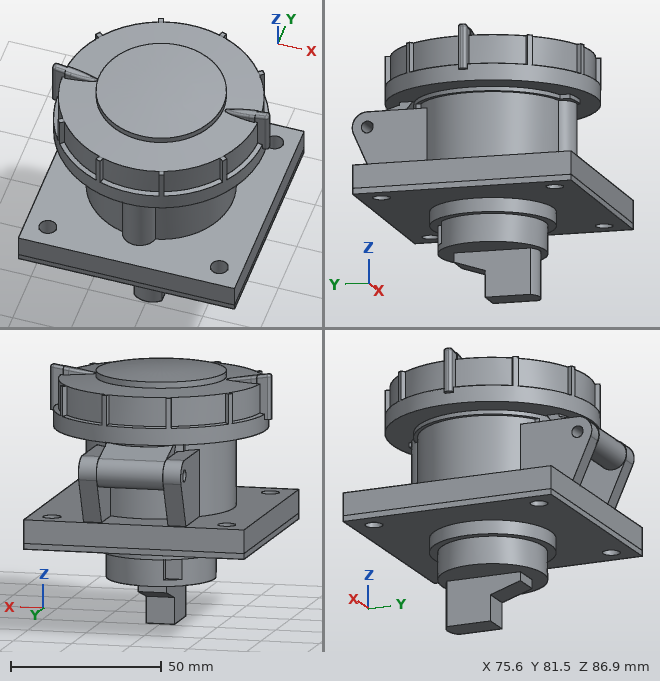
import cadquery as cq
import math

gasket_thickness = 2.0
flange_top = 10.0
collar_bottom = 35.3
ring_bottom = 36.8
ring_top = 42.5
ring_slope_rise = 0.35
cap_edge_top = 52.7
disc_bottom = 53.5
disc_top = 55.55
dome_top = 56.8
boss_step = -4.8
boss_bottom = -14.3
overall_height = 86.9
terminal_bottom = dome_top - overall_height

plate_side = 75.6
screw_offset = 30.0
screw_hole_radius = 2.95

housing_radius = 25.0
collar_radius = 26.4
ring_radius = 35.9
cap_radius = 34.25
disc_radius = 21.7
boss_radius = 21.1
lower_boss_radius = 18.3

front_rib_radius = 5.9
front_rib_offset = 23.0
front_stop_radius = 29.8
front_stop_left = -7.6
front_stop_right = 1.6
rear_pad_half_width = 13.4
rear_stop_radius = 31.2

hinge_half_width = 17.6
knuckle_half_width = 11.4
lug_radius = 5.2
knuckle_radius = 5.0
hinge_rear_y = 43.7
hinge_y = hinge_rear_y - lug_radius
hinge_z = 27.6
hinge_hole_radius = 2.0
lug_foot_y = 36.4
arm_top_y = 26.4
arm_underside_y = 24.5

grip_count = 10
grip_width = 1.7

pointer_bottom = 40.7
pointer_outer_x = plate_side / 2
pointer_tip_x = 22.25
pointer_tip_top = 53.6
pointer_outer_top = 56.1
pointer_tip_half_width = 0.9
pointer_mid_x = 28.25
pointer_mid_half_width = 1.65
pointer_heel_x = 33.2
pointer_heel_half_width = 1.8
stem_half_width = 1.5
stem_corner_radius = 1.0
pointer_edge_radius = 0.83

notch_side_x = -5.2
notch_floor_y = 14.8
notch_bottom = -12.2

terminal_half_width = 4.9
terminal_rear_y = 12.2
terminal_step_y = 1.3
terminal_rear_bottom = -17.5
terminal_step_top = -21.0
terminal_side_end_y = -14.4
terminal_nose_y = -16.3


def cylinder(radius, bottom, top, x=0.0, y=0.0):
    """Vertical cylinder between two heights."""
    return cq.Workplane("XY", origin=(x, y, bottom)).circle(radius).extrude(top - bottom)


def block(x_min, x_max, y_min, y_max, z_min, z_max):
    """Box given by its limits."""
    size = (x_max - x_min, y_max - y_min, z_max - z_min)
    return cq.Workplane("XY").box(*size, centered=False).translate((x_min, y_min, z_min))


def plate(bottom, top):
    """Square plate with a screw hole near each corner."""
    limit = plate_side / 2
    corners = [(x, y) for x in (-screw_offset, screw_offset) for y in (-screw_offset, screw_offset)]
    holes = cq.Workplane("XY", origin=(0, 0, bottom)).pushPoints(corners)
    holes = holes.circle(screw_hole_radius).extrude(top - bottom)
    return block(-limit, limit, -limit, limit, bottom, top).cut(holes)


def hinge_tangent(y, z, radius, side):
    """Point where a line from (y, z) touches a circle around the hinge axis, turning by +1 or -1."""
    to_point = math.atan2(z - hinge_z, y - hinge_y)
    half_angle = math.acos(radius / math.hypot(y - hinge_y, z - hinge_z))
    angle = to_point + side * half_angle
    return hinge_y + radius * math.cos(angle), hinge_z + radius * math.sin(angle)


def make_gasket():
    """Thin square gasket around the boss under the flange."""
    return plate(0.0, gasket_thickness).cut(cylinder(boss_radius, 0.0, gasket_thickness))


def make_barrel():
    """Housing barrel with its front rib, rear pad, collar and collar stops."""
    barrel = cylinder(housing_radius, flange_top, ring_bottom)
    front_rib = cylinder(front_rib_radius, flange_top, ring_bottom, y=-front_rib_offset)

    rear_pad = cylinder(collar_radius, flange_top, ring_bottom).intersect(
        block(-rear_pad_half_width, rear_pad_half_width, 0, collar_radius, flange_top, ring_bottom))

    collar = cylinder(collar_radius, collar_bottom, ring_bottom)
    front_stop = cylinder(front_stop_radius, collar_bottom, ring_bottom).intersect(
        block(front_stop_left, front_stop_right, -front_stop_radius, 0, collar_bottom, ring_bottom))
    rear_stop = cylinder(rear_stop_radius, collar_bottom, ring_bottom).intersect(
        block(-knuckle_half_width, knuckle_half_width, arm_top_y, rear_stop_radius, collar_bottom, ring_bottom))

    for piece in (front_rib, rear_pad, collar, front_stop, rear_stop):
        barrel = barrel.union(piece)
    return barrel


def make_hinge():
    """Two outer lugs rising from the flange and the arm between them, sharing one pin hole."""
    lug_tangent = hinge_tangent(lug_foot_y, flange_top, lug_radius, 1)
    lugs = (
        cq.Workplane("YZ", origin=(-hinge_half_width, 0, 0))
        .moveTo(0, flange_top)
        .lineTo(lug_foot_y, flange_top)
        .lineTo(*lug_tangent)
        .threePointArc(
            (hinge_y + lug_radius * math.cos(math.pi / 4), hinge_z + lug_radius * math.sin(math.pi / 4)),
            (hinge_y, hinge_z + lug_radius))
        .lineTo(0, hinge_z + lug_radius)
        .close()
        .extrude(2 * hinge_half_width)
    )
    lugs = lugs.cut(block(-knuckle_half_width, knuckle_half_width,
                          0, hinge_y + lug_radius, flange_top, ring_bottom))

    arm = (
        cq.Workplane("YZ", origin=(-knuckle_half_width, 0, 0))
        .moveTo(arm_underside_y, ring_bottom)
        .lineTo(arm_top_y, ring_bottom)
        .lineTo(*hinge_tangent(arm_top_y, ring_bottom, knuckle_radius, -1))
        .threePointArc(
            (hinge_y + knuckle_radius, hinge_z),
            hinge_tangent(arm_underside_y, ring_bottom, knuckle_radius, 1))
        .close()
        .extrude(2 * knuckle_half_width)
    )

    pin_hole = (
        cq.Workplane("YZ", origin=(-hinge_half_width, 0, 0))
        .center(hinge_y, hinge_z)
        .circle(hinge_hole_radius)
        .extrude(2 * hinge_half_width)
    )
    return lugs.union(arm).cut(pin_hole)


def make_grip(angle):
    """Upright grip on the cap wall, flush with the ring."""
    half = grip_width / 2
    bar = block(disc_radius, ring_radius + grip_width, -half, half, ring_bottom, cap_edge_top)
    bar = bar.rotate((0, 0, 0), (0, 0, 1), angle)
    return bar.intersect(cylinder(ring_radius, ring_bottom, cap_edge_top))


def make_pointer():
    """Pointer on the +X side: a tapered ridge on the cap that ends in a stem down the cap wall."""
    ridge = (
        cq.Workplane("XY", origin=(0, 0, ring_top))
        .moveTo(pointer_tip_x + pointer_tip_half_width, -pointer_tip_half_width)
        .threePointArc((pointer_mid_x, -pointer_mid_half_width), (pointer_heel_x, -pointer_heel_half_width))
        .lineTo(pointer_heel_x, pointer_heel_half_width)
        .threePointArc((pointer_mid_x, pointer_mid_half_width),
                       (pointer_tip_x + pointer_tip_half_width, pointer_tip_half_width))
        .threePointArc((pointer_tip_x, 0),
                       (pointer_tip_x + pointer_tip_half_width, -pointer_tip_half_width))
        .close()
        .extrude(pointer_outer_top - ring_top)
    )
    stem = block(pointer_heel_x, pointer_outer_x, -stem_half_width, stem_half_width,
                 pointer_bottom, pointer_outer_top)
    stem = stem.edges("|Z and >X").fillet(stem_corner_radius)

    side_profile = (
        cq.Workplane("XZ", origin=(0, pointer_heel_half_width, 0))
        .moveTo(pointer_tip_x, pointer_bottom)
        .lineTo(pointer_outer_x, pointer_bottom)
        .lineTo(pointer_outer_x, pointer_outer_top)
        .lineTo(pointer_tip_x, pointer_tip_top)
        .close()
        .extrude(2 * pointer_heel_half_width)
    )
    ridge = ridge.intersect(side_profile)
    ridge = ridge.faces(">Z").edges("not |Y").fillet(pointer_edge_radius)
    stem = stem.intersect(side_profile)
    stem = stem.faces(">Z").edges("not <X").fillet(pointer_edge_radius)
    return ridge.union(stem)


def make_cap():
    """Screw ring and cap with its raised domed disc, grips and pointers."""
    dome_rise = dome_top - disc_top
    dome_radius = (disc_radius ** 2 + dome_rise ** 2) / (2 * dome_rise)
    dome_mid_height = dome_top - dome_radius + math.sqrt(dome_radius ** 2 - (disc_radius / 2) ** 2)
    cap = (
        cq.Workplane("XZ")
        .moveTo(0, ring_bottom)
        .lineTo(ring_radius, ring_bottom)
        .lineTo(ring_radius, ring_top)
        .lineTo(cap_radius, ring_top + ring_slope_rise)
        .lineTo(cap_radius, cap_edge_top)
        .lineTo(disc_radius, disc_bottom)
        .lineTo(disc_radius, disc_top)
        .threePointArc((disc_radius / 2, dome_mid_height), (0, dome_top))
        .close()
        .revolve(360, (0, 0, 0), (0, 1, 0))
    )
    for index in range(grip_count):
        cap = cap.union(make_grip(index * 360 / grip_count))

    pointer = make_pointer()
    for angle in (0, 180):
        cap = cap.union(pointer.rotate((0, 0, 0), (0, 0, 1), angle))
    return cap


def make_lower_boss():
    """Stepped boss under the flange, with a notch in its smaller step."""
    boss = cylinder(boss_radius, boss_step, gasket_thickness)
    lower_boss = cylinder(lower_boss_radius, boss_bottom, boss_step)
    notch = block(-lower_boss_radius, notch_side_x, notch_floor_y, lower_boss_radius, notch_bottom, boss_step)
    return boss.union(lower_boss.cut(notch))


def make_terminal():
    """Terminal block below the boss, stepped at the rear and rounded at the nose."""
    profile = (
        cq.Workplane("YZ", origin=(-terminal_half_width, 0, 0))
        .moveTo(terminal_rear_y, boss_bottom)
        .lineTo(terminal_rear_y, terminal_rear_bottom)
        .lineTo(terminal_step_y, terminal_step_top)
        .lineTo(terminal_step_y, terminal_bottom)
        .lineTo(terminal_nose_y, terminal_bottom)
        .lineTo(terminal_nose_y, boss_bottom)
        .close()
        .extrude(2 * terminal_half_width)
    )
    plan = (
        cq.Workplane("XY", origin=(0, 0, terminal_bottom))
        .moveTo(terminal_half_width, terminal_rear_y)
        .lineTo(-terminal_half_width, terminal_rear_y)
        .lineTo(-terminal_half_width, terminal_side_end_y)
        .threePointArc((0, terminal_nose_y), (terminal_half_width, terminal_side_end_y))
        .close()
        .extrude(boss_bottom - terminal_bottom)
    )
    return profile.intersect(plan)


def make_housing():
    """Flange, barrel, hinge, cap, boss and terminal as one solid."""
    housing = plate(gasket_thickness, flange_top)
    for piece in (make_barrel(), make_hinge(), make_cap(), make_lower_boss(), make_terminal()):
        housing = housing.union(piece)
    return housing


gasket = make_gasket()
housing = make_housing()

result = cq.Compound.makeCompound([housing.val(), gasket.val()])